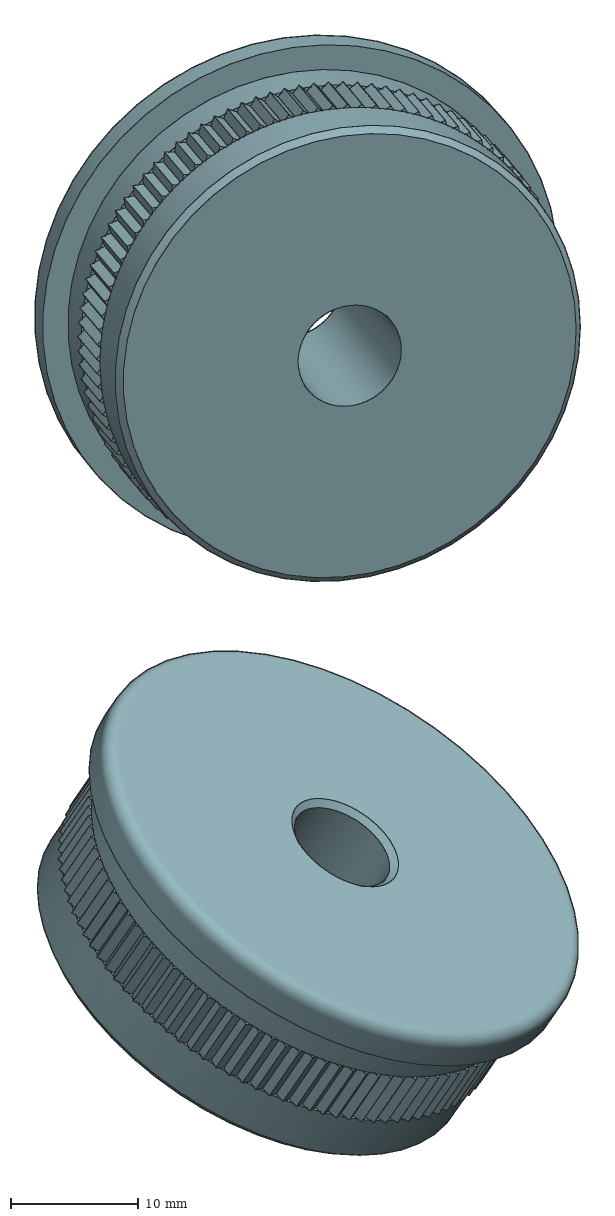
import math

import cadquery as cq


flange_radius = 21.2
flange_thickness = 3.0
flange_rounding = 1.0

total_length = 16.0
body_radius = 19.12
end_chamfer = 0.5

knurl_start = 6.5
knurl_width = 5.0
knurl_tip_radius = 19.4
knurl_tooth_count = 101
knurl_pitch = 2 * math.pi * knurl_tip_radius / knurl_tooth_count
knurl_root_radius = knurl_tip_radius - knurl_pitch / 2

hole_radius = 4.25
hole_chamfer = 0.5


def disc(start, length, radius):
    """Cylinder on the X axis from X = start."""
    return cq.Workplane("YZ", origin=(start, 0, 0)).circle(radius).extrude(length)


def knurled_band():
    """Toothed disc, with one tooth tip pointing straight along +Z."""
    half_step = math.pi / knurl_tooth_count
    outline = []
    for tooth in range(knurl_tooth_count):
        tip_angle = math.pi / 2 + 2 * tooth * half_step
        root_angle = tip_angle + half_step
        for radius, angle in ((knurl_tip_radius, tip_angle), (knurl_root_radius, root_angle)):
            outline.append((radius * math.cos(angle), radius * math.sin(angle)))
    band_plane = cq.Workplane("YZ", origin=(knurl_start, 0, 0))
    return band_plane.polyline(outline).close().extrude(knurl_width)


flange = disc(0, flange_thickness, flange_radius).faces("<X").edges().fillet(flange_rounding)

knurl_end = knurl_start + knurl_width
front_body = disc(flange_thickness, knurl_start - flange_thickness, body_radius)
rear_body = disc(knurl_end, total_length - knurl_end, body_radius)
rear_body = rear_body.faces(">X").edges().chamfer(end_chamfer)

plug = flange.union(front_body).union(knurled_band()).union(rear_body)

hole = disc(0, total_length, hole_radius)
countersink = cq.Workplane(
    cq.Solid.makeCone(
        hole_radius + hole_chamfer,
        hole_radius,
        hole_chamfer,
        pnt=cq.Vector(0, 0, 0),
        dir=cq.Vector(1, 0, 0),
    )
)

result = plug.cut(hole).cut(countersink)